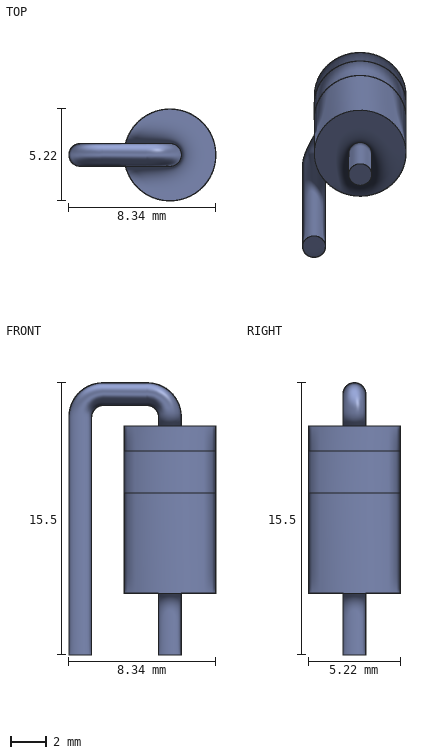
import cadquery as cq


lead_diameter = 1.3
lead_radius = lead_diameter / 2
lead_pitch = 5.08
overall_height = 15.45
bend_radius = lead_diameter

body_diameter = 5.2
body_length = 9.5
body_bottom = 3.5

band_diameter = 5.22
band_length_share = 0.25
band_start_share = 0.6
band_length = band_length_share * body_length
band_bottom = body_bottom + band_start_share * body_length

wire_top = overall_height - lead_radius
bend_start = wire_top - bend_radius
return_x = -lead_pitch


def upright_cylinder(diameter, bottom, length):
    """Cylinder on the Z axis, starting at the given height."""
    return cq.Workplane("XY").workplane(offset=bottom).circle(diameter / 2).extrude(length)


def make_lead():
    """One wire: up through the body, over two quarter bends and down to the board."""
    path = (
        cq.Workplane("XZ")
        .moveTo(0, 0)
        .lineTo(0, bend_start)
        .tangentArcPoint((-bend_radius, wire_top), relative=False)
        .lineTo(return_x + bend_radius, wire_top)
        .tangentArcPoint((return_x, bend_start), relative=False)
        .lineTo(return_x, 0)
    )
    return cq.Workplane("XY").circle(lead_radius).sweep(path)


body = upright_cylinder(body_diameter, body_bottom, body_length)
band = upright_cylinder(band_diameter, band_bottom, band_length)

result = body.union(band).union(make_lead())